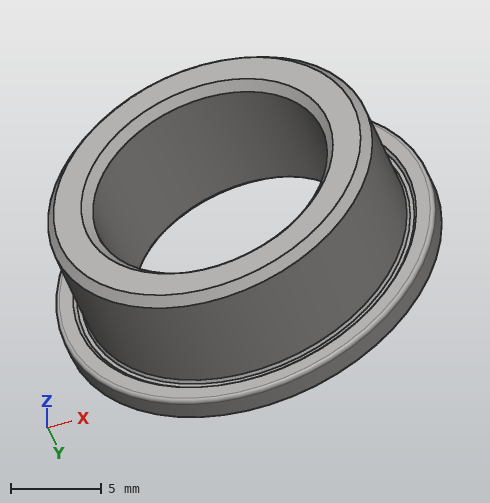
import cadquery as cq

flange_radius = 11.12
body_radius = 9.51
bore_radius = 6.87
total_length = 7.94
flange_thickness = 1.58

end_chamfer = 0.51
flange_front_fillet = 0.25
flange_back_chamfer_length = 0.27
flange_back_chamfer_depth = 0.8

groove_outer_radius = 10.07
groove_floor_outer_radius = 9.9
groove_floor_inner_radius = 9.65
groove_depth = 0.18

flange_back = total_length / 2
flange_front = flange_back - flange_thickness
body_end = -total_length / 2
groove_floor = flange_front + groove_depth

section = (
    cq.Workplane("XY")
    .moveTo(bore_radius, flange_back - end_chamfer)
    .lineTo(bore_radius, body_end + end_chamfer)
    .lineTo(bore_radius + end_chamfer, body_end)
    .lineTo(body_radius - end_chamfer, body_end)
    .lineTo(body_radius, body_end + end_chamfer)
    .lineTo(body_radius, flange_front)
    .lineTo(groove_floor_inner_radius, groove_floor)
    .lineTo(groove_floor_outer_radius, groove_floor)
    .lineTo(groove_outer_radius, flange_front)
    .lineTo(flange_radius - flange_front_fillet, flange_front)
    .radiusArc((flange_radius, flange_front + flange_front_fillet), -flange_front_fillet)
    .lineTo(flange_radius, flange_back - flange_back_chamfer_length)
    .lineTo(flange_radius - flange_back_chamfer_depth, flange_back)
    .lineTo(bore_radius + end_chamfer, flange_back)
    .close()
)

result = section.revolve(360, (0, 0, 0), (0, 1, 0))